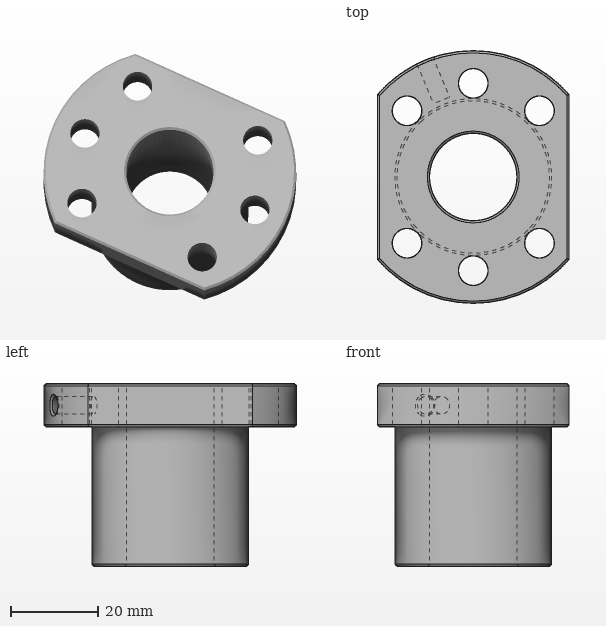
import cadquery as cq
import math

total_height = 42.0
edge_chamfer = 0.5

flange_diameter = 58.0
flange_width = 44.0
flange_thickness = 10.0

body_diameter = 36.0
bore_diameter = 20.0

mount_hole_diameter = 6.7
mount_circle_diameter = 43.0
mount_hole_spacing = 45.0
mount_hole_angles = [side + step * mount_hole_spacing for side in (90, 270) for step in (-1, 0, 1)]

oil_port_angle = 90 + mount_hole_spacing / 2
oil_port_diameter = 4.0
oil_port_chamfer = 0.5
oil_port_depth = 10.0

flange_radius = flange_diameter / 2
flange_bottom = total_height - flange_thickness
flange_middle = total_height - flange_thickness / 2


def make_flange():
    """Disc with flats at -X and +X, chamfered along its top and bottom outline."""
    disc = cq.Workplane("XY").circle(flange_radius).extrude(flange_thickness)
    slab = cq.Workplane("XY").rect(flange_width, flange_diameter).extrude(flange_thickness)
    flange = disc.intersect(slab).faces("<Z or >Z").edges().chamfer(edge_chamfer)
    return flange.translate((0, 0, flange_bottom))


def make_body():
    """Cylinder below the flange, chamfered at its lower end."""
    body = cq.Workplane("XY").circle(body_diameter / 2).extrude(total_height)
    return body.faces("<Z").edges().chamfer(edge_chamfer)


def make_bore():
    """Through bore that widens in a chamfer at both ends."""
    bore_radius = bore_diameter / 2
    mouth_radius = bore_radius + edge_chamfer
    return (
        cq.Workplane("XZ")
        .moveTo(0, 0)
        .lineTo(mouth_radius, 0)
        .lineTo(bore_radius, edge_chamfer)
        .lineTo(bore_radius, total_height - edge_chamfer)
        .lineTo(mouth_radius, total_height)
        .lineTo(0, total_height)
        .close()
        .revolve(360, (0, 0, 0), (0, 1, 0))
    )


def make_mount_holes():
    """Through holes in two groups of three, at -Y and +Y."""
    circle_radius = mount_circle_diameter / 2
    centers = [
        (circle_radius * math.cos(math.radians(angle)), circle_radius * math.sin(math.radians(angle)))
        for angle in mount_hole_angles
    ]
    return (
        cq.Workplane("XY", origin=(0, 0, flange_bottom))
        .pushPoints(centers)
        .circle(mount_hole_diameter / 2)
        .extrude(flange_thickness)
    )


def make_oil_port():
    """Radial blind hole with a 45 degree countersunk mouth at the flange rim."""
    port_radius = oil_port_diameter / 2
    mouth_radius = port_radius + oil_port_chamfer
    port = (
        cq.Workplane("XY")
        .moveTo(flange_radius, 0)
        .lineTo(flange_radius, mouth_radius)
        .lineTo(flange_radius - oil_port_chamfer, port_radius)
        .lineTo(flange_radius - oil_port_depth, port_radius)
        .lineTo(flange_radius - oil_port_depth, 0)
        .close()
        .revolve(360, (0, 0, 0), (1, 0, 0))
    )
    return port.rotate((0, 0, 0), (0, 0, 1), oil_port_angle).translate((0, 0, flange_middle))


result = (
    make_flange()
    .union(make_body())
    .cut(make_bore())
    .cut(make_mount_holes())
    .cut(make_oil_port())
)